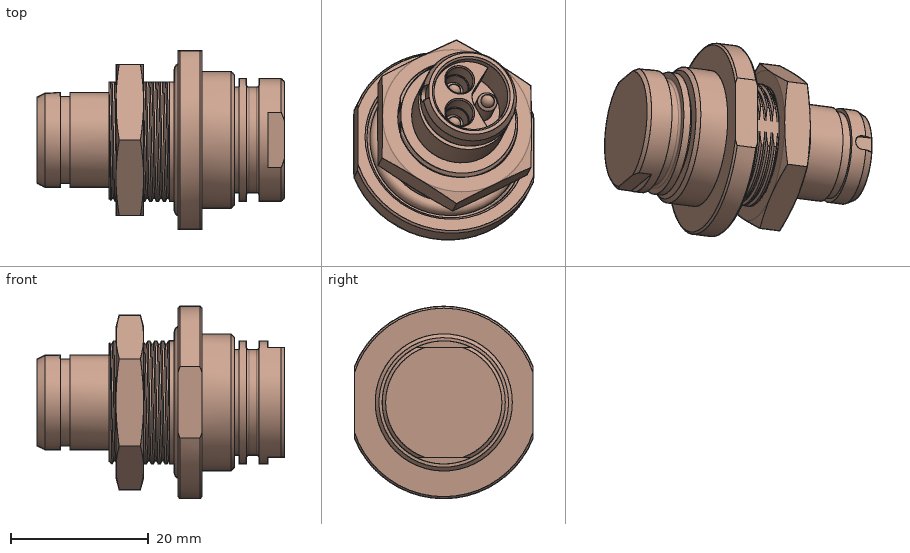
import cadquery as cq
import math

OVERALL_LENGTH = 36.0

SLEEVE_RADIUS = 6.9
SLEEVE_CHAMFER_LENGTH = 1.2
SLEEVE_CHAMFER_HEIGHT = 0.6
SLEEVE_GROOVE_START = 3.4
SLEEVE_GROOVE_END = 4.8
SLEEVE_GROOVE_RADIUS = 6.35

KEYWAY_WIDTH = 2.1
KEYWAY_LENGTH = 2.8
KEYWAY_FLOOR = 6.25

SOCKET_RADIUS = 5.45
SOCKET_CHAMFER = 0.3
INSULATOR_FACE = 1.4
EARTH_RECESS_FLOOR = 7.0
EARTH_RECESS_ANGLE = 120.0
EARTH_RECESS_TIP_RADIUS = 2.5

CONTACT_CIRCLE_RADIUS = 2.92
CONTACT_RADIUS = 1.43
CONTACT_TIP_RADIUS = 0.98
CONTACT_TAPER_LENGTH = 0.35
EARTH_CONTACT_TIP = 1.75
POWER_CONTACT_TIP = 5.0
POWER_HOLE_RADIUS = 2.0
POWER_HOLE_CHAMFER = 0.2
POWER_HOLE_SHELF = 4.6
POWER_HOLE_END_RADIUS = 1.83
POWER_HOLE_FLOOR = 9.0
POWER_CONTACT_ANGLES = (60.0, -60.0)
EARTH_CONTACT_ANGLE = 180.0

THREAD_START = 10.45
THREAD_END = 19.25
THREAD_PITCH = 1.0
THREAD_MAJOR_RADIUS = 8.95
THREAD_MINOR_RADIUS = 8.5
THREAD_CREST_WIDTH = 0.3
THREAD_BASE_WIDTH = 0.75
THREAD_CREST_AT_TOP = 0.28
THREAD_ROOT_OVERLAP = 0.15
THREAD_RUN_OUT = 0.5
COLLAR_RADIUS = 8.97
BARREL_FLAT = 8.45

NUT_SIDES = 6
NUT_START = 11.5
NUT_LENGTH = 4.0
NUT_ACROSS_FLATS = 22.0
NUT_BORE_RADIUS = 8.77
NUT_CHAMFER_ANGLE = 15.0

FLANGE_START = 20.5
FLANGE_END = 24.0
FLANGE_RADIUS = 14.0
FLANGE_CHAMFER = 0.3
FLANGE_WIDTH = 26.0
SEAL_GROOVE_RADIUS = 11.6
SEAL_GROOVE_CHAMFER = 0.35
SEAL_GROOVE_FLOOR = 21.9
SEAL_GROOVE_FILLET = 0.35
SEAL_CENTRE_RADIUS = 10.15
SEAL_SECTION_RADIUS = 1.0
SEAL_FRONT = 19.95

BODY_RADIUS = 9.97
BODY_END = 28.75
BODY_CHAMFER = 0.55
NECK_RADIUS = 7.7
RING_START = 29.4
RING_END = 30.45
RING_RADIUS = 8.95
NECK_FILLET = 0.35
END_START = 32.3
END_CHAMFER = 0.5
END_FLAT_START = 33.57
END_FLAT_DISTANCE = 8.0


def cylinder(radius, start, end):
    """Cylinder along X between two positions."""
    return (
        cq.Workplane("YZ", origin=(start, 0, 0))
        .circle(radius)
        .extrude(end - start)
    )


def revolve_about_x(profile):
    """Turn a closed outline of (x, radius) about the X axis."""
    return profile.close().revolve(360, (0, 0, 0), (1, 0, 0))


def block(x_range, y_range, z_range):
    """Box given by its limits on each axis."""
    sizes = [high - low for low, high in (x_range, y_range, z_range)]
    corner = (x_range[0], y_range[0], z_range[0])
    return cq.Workplane("XY").box(*sizes, centered=False).translate(corner)


def make_sleeve():
    """Solid plug sleeve with a chamfered rim and a groove around it."""
    outline = (
        cq.Workplane("XY")
        .moveTo(0, 0)
        .lineTo(0, SLEEVE_RADIUS - SLEEVE_CHAMFER_HEIGHT)
        .lineTo(SLEEVE_CHAMFER_LENGTH, SLEEVE_RADIUS)
        .lineTo(SLEEVE_GROOVE_START, SLEEVE_RADIUS)
        .lineTo(SLEEVE_GROOVE_START, SLEEVE_GROOVE_RADIUS)
        .lineTo(SLEEVE_GROOVE_END, SLEEVE_GROOVE_RADIUS)
        .lineTo(SLEEVE_GROOVE_END, SLEEVE_RADIUS)
        .lineTo(THREAD_START, SLEEVE_RADIUS)
        .lineTo(THREAD_START, 0)
    )
    return revolve_about_x(outline)


def make_keyway():
    """Slot with a half-round end, open at the front rim."""
    half_width = KEYWAY_WIDTH / 2
    straight_end = KEYWAY_LENGTH - half_width
    cut_height = 2 * (SLEEVE_RADIUS - KEYWAY_FLOOR)
    straight = block(
        (0, straight_end),
        (KEYWAY_FLOOR, KEYWAY_FLOOR + cut_height),
        (-half_width, half_width),
    )
    round_end = (
        cq.Workplane("XZ", origin=(straight_end, KEYWAY_FLOOR, 0))
        .circle(half_width)
        .extrude(-cut_height)
    )
    return straight.union(round_end)


def make_socket():
    """Shallow round recess in front of the insulator, chamfered at the rim."""
    outline = (
        cq.Workplane("XY")
        .moveTo(0, 0)
        .lineTo(0, SOCKET_RADIUS + SOCKET_CHAMFER)
        .lineTo(SOCKET_CHAMFER, SOCKET_RADIUS)
        .lineTo(INSULATOR_FACE, SOCKET_RADIUS)
        .lineTo(INSULATOR_FACE, 0)
    )
    return revolve_about_x(outline)


def make_earth_recess():
    """Sector of the socket opening toward -Y, with a rounded tip near the axis."""
    half_angle = math.radians(EARTH_RECESS_ANGLE / 2)
    reach = 2 * SOCKET_RADIUS
    depth = EARTH_RECESS_FLOOR - INSULATOR_FACE
    sector = (
        cq.Workplane("YZ", origin=(INSULATOR_FACE, 0, 0))
        .polyline([
            (0, 0),
            (-reach * math.cos(half_angle), reach * math.sin(half_angle)),
            (-reach * math.cos(half_angle), -reach * math.sin(half_angle)),
        ])
        .close()
        .extrude(depth)
        .edges("|X and >Y")
        .fillet(EARTH_RECESS_TIP_RADIUS)
    )
    return sector.intersect(cylinder(SOCKET_RADIUS, INSULATOR_FACE, EARTH_RECESS_FLOOR))


def contact_position(angle):
    """(y, z) of a contact at an angle from +Y in degrees."""
    radians = math.radians(angle)
    return CONTACT_CIRCLE_RADIUS * math.cos(radians), CONTACT_CIRCLE_RADIUS * math.sin(radians)


def make_power_hole(angle):
    """Round hole with a chamfered mouth and a slightly narrower bottom."""
    mouth_radius = POWER_HOLE_RADIUS + POWER_HOLE_CHAMFER
    outline = (
        cq.Workplane("XY")
        .moveTo(INSULATOR_FACE, 0)
        .lineTo(INSULATOR_FACE, mouth_radius)
        .lineTo(INSULATOR_FACE + POWER_HOLE_CHAMFER, POWER_HOLE_RADIUS)
        .lineTo(POWER_HOLE_SHELF, POWER_HOLE_RADIUS)
        .lineTo(POWER_HOLE_SHELF, POWER_HOLE_END_RADIUS)
        .lineTo(POWER_HOLE_FLOOR, POWER_HOLE_END_RADIUS)
        .lineTo(POWER_HOLE_FLOOR, 0)
    )
    return revolve_about_x(outline).translate((0, *contact_position(angle)))


def make_contact(tip, floor, angle):
    """Round pin with a taper and a hemispherical tip, rooted just below the floor around it."""
    dome_base = tip + CONTACT_TIP_RADIUS
    dome_middle = CONTACT_TIP_RADIUS * math.sqrt(0.5)
    root = floor + CONTACT_RADIUS
    outline = (
        cq.Workplane("XY")
        .moveTo(tip, 0)
        .threePointArc((dome_base - dome_middle, dome_middle), (dome_base, CONTACT_TIP_RADIUS))
        .lineTo(dome_base + CONTACT_TAPER_LENGTH, CONTACT_RADIUS)
        .lineTo(root, CONTACT_RADIUS)
        .lineTo(root, 0)
    )
    return revolve_about_x(outline).translate((0, *contact_position(angle)))


def make_barrel_flat():
    """Material to remove for the flat on the +Y side of the barrel."""
    return block(
        (THREAD_START, FLANGE_START),
        (BARREL_FLAT, FLANGE_RADIUS),
        (-FLANGE_RADIUS, FLANGE_RADIUS),
    )


def make_thread_ridge():
    """Right-hand helical ridge, clipped to the threaded length with a 45 degree lead-in."""
    run_in = 2 * THREAD_PITCH
    crest_start = math.floor(THREAD_START) - run_in + THREAD_CREST_AT_TOP
    length = THREAD_END + run_in - crest_start
    root_radius = THREAD_MINOR_RADIUS - THREAD_ROOT_OVERLAP
    ridge_height = THREAD_MAJOR_RADIUS - THREAD_MINOR_RADIUS
    flank_slope = (THREAD_BASE_WIDTH - THREAD_CREST_WIDTH) / 2 / ridge_height
    half_crest = THREAD_CREST_WIDTH / 2
    half_root = THREAD_BASE_WIDTH / 2 + THREAD_ROOT_OVERLAP * flank_slope
    helix = cq.Wire.makeHelix(THREAD_PITCH, length, THREAD_MINOR_RADIUS)
    ridge = (
        cq.Workplane("XZ")
        .polyline([
            (root_radius, -half_root),
            (THREAD_MAJOR_RADIUS, -half_crest),
            (THREAD_MAJOR_RADIUS, half_crest),
            (root_radius, half_root),
        ])
        .close()
        .sweep(cq.Workplane(helix), isFrenet=True)
    )
    ridge = ridge.rotate((0, 0, 0), (0, 0, 1), 180)
    ridge = ridge.rotate((0, 0, 0), (0, 1, 0), 90).translate((crest_start, 0, 0))
    envelope = (
        cq.Workplane("XY")
        .moveTo(THREAD_START, 0)
        .lineTo(THREAD_START, THREAD_MINOR_RADIUS)
        .lineTo(THREAD_START + FLANGE_RADIUS - THREAD_MINOR_RADIUS, FLANGE_RADIUS)
        .lineTo(THREAD_END + THREAD_RUN_OUT, FLANGE_RADIUS)
        .lineTo(THREAD_END + THREAD_RUN_OUT, 0)
    )
    ridge = ridge.intersect(revolve_about_x(envelope))
    return ridge.cut(make_barrel_flat())


def make_barrel_core():
    """Barrel at the thread's root radius, with a plain collar at its rear end."""
    core = cylinder(THREAD_MINOR_RADIUS, THREAD_START, FLANGE_START)
    collar = cylinder(COLLAR_RADIUS, THREAD_END, FLANGE_START)
    return core.union(collar).cut(make_barrel_flat())


def make_nut():
    """Hexagon nut with corners on +Z and -Z, chamfered on both faces."""
    half_side_angle = 180 / NUT_SIDES
    face_radius = NUT_ACROSS_FLATS / 2
    corner_radius = face_radius / math.cos(math.radians(half_side_angle))
    chamfer_length = (corner_radius - face_radius) * math.tan(math.radians(NUT_CHAMFER_ANGLE))
    nut_end = NUT_START + NUT_LENGTH
    hexagon = (
        cq.Workplane("YZ", origin=(NUT_START, 0, 0))
        .polygon(NUT_SIDES, 2 * corner_radius)
        .extrude(NUT_LENGTH)
        .rotate((0, 0, 0), (1, 0, 0), half_side_angle)
    )
    envelope = (
        cq.Workplane("XY")
        .moveTo(NUT_START, 0)
        .lineTo(NUT_START, face_radius)
        .lineTo(NUT_START + chamfer_length, corner_radius)
        .lineTo(nut_end - chamfer_length, corner_radius)
        .lineTo(nut_end, face_radius)
        .lineTo(nut_end, 0)
    )
    bore = cylinder(NUT_BORE_RADIUS, NUT_START, nut_end)
    return hexagon.intersect(revolve_about_x(envelope)).cut(bore)


def make_flange():
    """Round flange with two flats, and a sealing ring seated in its front groove."""
    disc = cylinder(FLANGE_RADIUS, FLANGE_START, FLANGE_END).edges().chamfer(FLANGE_CHAMFER)
    half_width = FLANGE_WIDTH / 2
    disc = disc.intersect(
        block(
            (FLANGE_START, FLANGE_END),
            (-half_width, half_width),
            (-FLANGE_RADIUS, FLANGE_RADIUS),
        )
    )
    fillet_middle = SEAL_GROOVE_FILLET * (1 - math.sqrt(0.5))
    groove = (
        cq.Workplane("XY")
        .moveTo(FLANGE_START, COLLAR_RADIUS)
        .lineTo(FLANGE_START, SEAL_GROOVE_RADIUS + SEAL_GROOVE_CHAMFER)
        .lineTo(FLANGE_START + SEAL_GROOVE_CHAMFER, SEAL_GROOVE_RADIUS)
        .lineTo(SEAL_GROOVE_FLOOR - SEAL_GROOVE_FILLET, SEAL_GROOVE_RADIUS)
        .threePointArc(
            (SEAL_GROOVE_FLOOR - fillet_middle, SEAL_GROOVE_RADIUS - fillet_middle),
            (SEAL_GROOVE_FLOOR, SEAL_GROOVE_RADIUS - SEAL_GROOVE_FILLET),
        )
        .lineTo(SEAL_GROOVE_FLOOR, COLLAR_RADIUS)
    )
    seal = (
        cq.Workplane("XY")
        .center(SEAL_FRONT + SEAL_SECTION_RADIUS, SEAL_CENTRE_RADIUS)
        .circle(SEAL_SECTION_RADIUS)
        .revolve(360, (0, -SEAL_CENTRE_RADIUS, 0), (1, -SEAL_CENTRE_RADIUS, 0))
    )
    return disc.cut(revolve_about_x(groove)).union(seal)


def make_rear_body():
    """Turned rear body: shoulder, ring, filleted neck and end collar with two flats."""
    fillet_middle = NECK_FILLET * (1 - math.sqrt(0.5))
    fillet_top = NECK_RADIUS + NECK_FILLET
    outline = (
        cq.Workplane("XY")
        .moveTo(FLANGE_END, 0)
        .lineTo(FLANGE_END, BODY_RADIUS)
        .lineTo(BODY_END - BODY_CHAMFER, BODY_RADIUS)
        .lineTo(BODY_END, BODY_RADIUS - BODY_CHAMFER)
        .lineTo(BODY_END, NECK_RADIUS)
        .lineTo(RING_START, NECK_RADIUS)
        .lineTo(RING_START, RING_RADIUS)
        .lineTo(RING_END, RING_RADIUS)
        .lineTo(RING_END, fillet_top)
        .threePointArc(
            (RING_END + fillet_middle, NECK_RADIUS + fillet_middle),
            (RING_END + NECK_FILLET, NECK_RADIUS),
        )
        .lineTo(END_START - NECK_FILLET, NECK_RADIUS)
        .threePointArc(
            (END_START - fillet_middle, NECK_RADIUS + fillet_middle),
            (END_START, fillet_top),
        )
        .lineTo(END_START, RING_RADIUS)
        .lineTo(OVERALL_LENGTH - END_CHAMFER, RING_RADIUS)
        .lineTo(OVERALL_LENGTH, RING_RADIUS - END_CHAMFER)
        .lineTo(OVERALL_LENGTH, 0)
    )
    body = revolve_about_x(outline)
    for z_range in ((END_FLAT_DISTANCE, FLANGE_RADIUS), (-FLANGE_RADIUS, -END_FLAT_DISTANCE)):
        body = body.cut(
            block((END_FLAT_START, OVERALL_LENGTH), (-FLANGE_RADIUS, FLANGE_RADIUS), z_range)
        )
    return body


def make_connector():
    """Whole connector; the helical ridge is joined late because it is the slowest shape to combine."""
    part = make_sleeve().union(make_barrel_core())
    part = part.union(make_flange()).union(make_rear_body())
    part = part.cut(make_keyway()).cut(make_socket()).cut(make_earth_recess())
    part = part.union(make_contact(EARTH_CONTACT_TIP, EARTH_RECESS_FLOOR, EARTH_CONTACT_ANGLE))
    for angle in POWER_CONTACT_ANGLES:
        part = part.cut(make_power_hole(angle))
        part = part.union(make_contact(POWER_CONTACT_TIP, POWER_HOLE_FLOOR, angle))
    return part.union(make_thread_ridge()).union(make_nut())


result = make_connector()